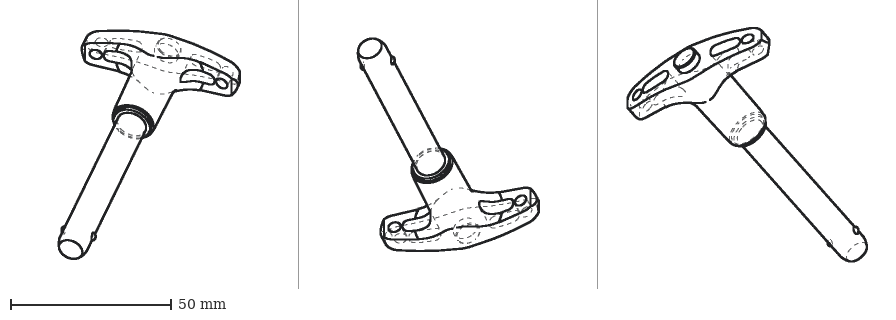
import cadquery as cq
import math

overall_length = 96.9

shank_radius = 4.7
tip_radius = 3.9
tip_length = 2.7
tip_bulge = 0.15

ball_radius = 1.4
ball_y = 7.8
ball_reach = 5.6

collar_y = 60.0
collar_radius = 6.0
sleeve_start_y = 61.2
sleeve_start_radius = 6.8
sleeve_band_y = 63.3
sleeve_band_radius = 7.0
sleeve_end_y = 80.5
sleeve_end_radius = 7.3
neck_y = 82.0
neck_radius = 7.6

flare_mid_radius = 9.2
flare_mid_y = 85.7
flare_radius = 14.5
flare_y = 87.3

handle_length = 51.5
handle_half_length = handle_length / 2
handle_half_width = 7.9
end_radius = 4.8
crest_half_length = 1.1

handle_top_y = 94.0
top_flat_half_length = 8.7
top_mid_x = 17.4
top_mid_y = 92.9
end_top_x = 25.2
end_top_y = 91.1
end_bottom_y = 87.4
underside_end_x = 24.1
underside_end_y = 85.95
underside_slope = (flare_y - underside_end_y) / (underside_end_x - flare_radius)
underside_crown_y = flare_y + underside_slope * flare_radius

hole_x = 20.7
hole_radius = 1.9
slot_inner_x = 8.0
slot_outer_x = 18.2
slot_taper_x = 14.0
slot_half_width = 2.4
slot_outer_half_width = 2.0
slot_inner_corner = 1.8
slot_outer_corner = 1.9

button_radius = 4.0
button_edge = 0.3

SIDES = (-1, 1)


def prism_along_y(outline):
    """Extrude an XZ outline over the whole length of the part."""
    return outline.extrude(-overall_length)


def handle_plan():
    """Lens-like outline: round ends joined by straight flanks to a small crest."""
    end_center = handle_half_length - end_radius
    run = end_center - crest_half_length
    span = math.hypot(run, handle_half_width)
    flank_angle = math.atan2(handle_half_width, run) - math.asin(end_radius / span)
    tangent_x = end_center + end_radius * math.sin(flank_angle)
    tangent_z = end_radius * math.cos(flank_angle)
    outline = (
        cq.Workplane("XZ")
        .moveTo(-crest_half_length, handle_half_width)
        .lineTo(crest_half_length, handle_half_width)
        .lineTo(tangent_x, tangent_z)
        .threePointArc((handle_half_length, 0), (tangent_x, -tangent_z))
        .lineTo(crest_half_length, -handle_half_width)
        .lineTo(-crest_half_length, -handle_half_width)
        .lineTo(-tangent_x, -tangent_z)
        .threePointArc((-handle_half_length, 0), (-tangent_x, tangent_z))
        .close()
    )
    return prism_along_y(outline)


def handle_wings():
    """Bowed bar with tapered ends, extruded through the handle width."""
    return (
        cq.Workplane("XY")
        .moveTo(-top_flat_half_length, handle_top_y)
        .lineTo(top_flat_half_length, handle_top_y)
        .threePointArc((top_mid_x, top_mid_y), (end_top_x, end_top_y))
        .lineTo(handle_half_length, end_bottom_y)
        .lineTo(underside_end_x, underside_end_y)
        .lineTo(0, underside_crown_y)
        .lineTo(-underside_end_x, underside_end_y)
        .lineTo(-handle_half_length, end_bottom_y)
        .lineTo(-end_top_x, end_top_y)
        .threePointArc((-top_mid_x, top_mid_y), (-top_flat_half_length, handle_top_y))
        .close()
        .extrude(handle_half_width, both=True)
    )


def flare():
    """Trumpet-shaped transition, reaching into the handle bar."""
    neck_direction = (neck_radius - sleeve_end_radius, neck_y - sleeve_end_y)
    wing_direction = (1, -underside_slope)
    bar_mid_y = (underside_crown_y + end_top_y) / 2
    return (
        cq.Workplane("XY")
        .moveTo(0, neck_y)
        .lineTo(neck_radius, neck_y)
        .spline(
            [(flare_mid_radius, flare_mid_y), (flare_radius, flare_y)],
            tangents=[neck_direction, wing_direction],
            includeCurrent=True,
        )
        .lineTo(flare_radius, bar_mid_y)
        .lineTo(0, bar_mid_y)
        .close()
        .revolve(360, (0, 0), (0, 1))
    )


def handle_openings():
    """A lanyard hole and a finger slot through each wing."""
    holes = prism_along_y(
        cq.Workplane("XZ").pushPoints([(side * hole_x, 0) for side in SIDES]).circle(hole_radius)
    )
    for side in SIDES:
        slot = prism_along_y(
            cq.Workplane("XZ").polyline([
                (side * slot_inner_x, -slot_half_width),
                (side * slot_taper_x, -slot_half_width),
                (side * slot_outer_x, -slot_outer_half_width),
                (side * slot_outer_x, slot_outer_half_width),
                (side * slot_taper_x, slot_half_width),
                (side * slot_inner_x, slot_half_width),
            ]).close()
        )
        inner, outer = ("<X", ">X") if side > 0 else (">X", "<X")
        slot = slot.faces(inner).edges("|Y").fillet(slot_inner_corner)
        slot = slot.faces(outer).edges("|Y").fillet(slot_outer_corner)
        holes = holes.union(slot)
    return holes


def turned_pin():
    """Tip, shank, collar, sleeve and neck as one turned body."""
    tip_mid = ((tip_radius + shank_radius) / 2 + tip_bulge, tip_length / 2)
    return (
        cq.Workplane("XY")
        .lineTo(tip_radius, 0)
        .threePointArc(tip_mid, (shank_radius, tip_length))
        .lineTo(shank_radius, collar_y)
        .lineTo(collar_radius, collar_y)
        .lineTo(collar_radius, sleeve_start_y)
        .lineTo(sleeve_start_radius, sleeve_start_y)
        .lineTo(sleeve_band_radius, sleeve_band_y)
        .lineTo(sleeve_end_radius, sleeve_end_y)
        .lineTo(neck_radius, neck_y)
        .lineTo(0, neck_y)
        .close()
        .revolve(360, (0, 0), (0, 1))
    )


def release_button():
    """Round push button standing on top of the handle."""
    return (
        cq.Workplane("XZ", origin=(0, overall_length, 0))
        .circle(button_radius)
        .extrude(overall_length - flare_y)
        .faces(">Y").edges().chamfer(button_edge)
    )


def locking_balls():
    """Two balls standing out of the shank on opposite sides."""
    ball_x = ball_reach - ball_radius
    return (
        cq.Workplane("XY", origin=(0, ball_y, 0))
        .pushPoints([(side * ball_x, 0) for side in SIDES])
        .sphere(ball_radius)
    )


handle = handle_wings().union(flare()).intersect(handle_plan()).cut(handle_openings())
result = handle.union(turned_pin()).union(release_button()).union(locking_balls())